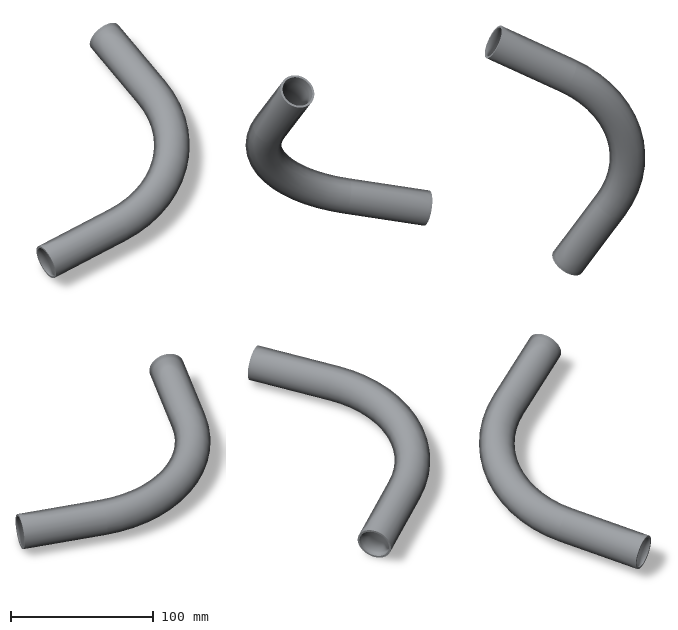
import cadquery as cq

outer_diameter = 25.0
wall_thickness = 1.5
straight_length = 60.0
bend_radius = 85.0
bend_angle = 90.0

outer_radius = outer_diameter / 2
inner_radius = outer_radius - wall_thickness


def tube_section(plane, center):
    """Annular tube section on the given plane."""
    return cq.Workplane(plane, origin=center).circle(outer_radius).circle(inner_radius)


x_leg_start = (-straight_length, bend_radius, 0)
y_leg_start = (bend_radius, 0, 0)

x_leg = tube_section("YZ", x_leg_start).extrude(straight_length)

bend = tube_section("XZ", y_leg_start).revolve(bend_angle, (-bend_radius, 0, 0), (-bend_radius, 1, 0))

y_leg = tube_section("XZ", y_leg_start).extrude(straight_length)

result = x_leg.union(bend).union(y_leg)